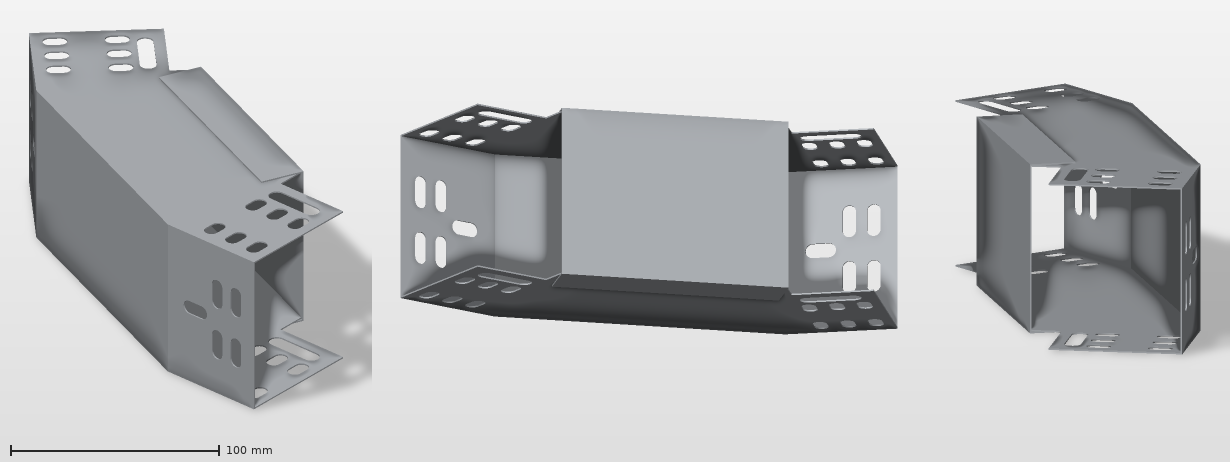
import cadquery as cq
import math


overall_length = 244.5
channel_height = 81.7
sheet = 0.7
bend_angle = 22.5
leg_length = 55.0
end_depth = 65.0
tab_length = 40.0

plate_slot_length = 12.0
plate_slot_width = 7.0
plate_slot_start = 8.5
plate_slot_pitch = 13.5
plate_slot_columns = 3
plate_slot_rows = (12.0, 42.0)
long_slot_length = 30.0
long_slot_width = 8.0
long_slot_along = 22.7
long_slot_back = 55.3

tall_slot_length = 16.0
tall_slot_width = 6.5
tall_slot_columns = (11.5, 23.5)
tall_slot_pitch = 28.0
cross_slot_length = 15.0
cross_slot_width = 7.0
cross_slot_along = 37.5

cover_length = 111.5
cover_back = 80.5
cover_flange = 22.5

cos_bend = math.cos(math.radians(bend_angle))
sin_bend = math.sin(math.radians(bend_angle))
leg_end_x = -overall_length / 2
leg_end_y = leg_length * sin_bend
bend_x = leg_end_x + leg_length * cos_bend
inner_bend_x = bend_x + sheet * math.tan(math.radians(bend_angle / 2))
plate_back = cover_back - sheet


def leg_point(along, back):
    """XY point on the left leg: distance along it from its end, and back from its outside face."""
    return (
        leg_end_x + along * cos_bend + back * sin_bend,
        leg_end_y - along * sin_bend + back * cos_bend,
    )


def symmetric_outline(left_points):
    """Closed outline from the points of its left half, completed by their mirror images."""
    right_points = [(-x, y) for x, y in reversed(left_points)]
    return cq.Workplane("XY").polyline(left_points + right_points).close()


def make_side_plate():
    """Side plate with a tab at each end, standing on Z = 0."""
    notch_x, notch_y = leg_point(tab_length, end_depth)
    back_corner_x = notch_x + (plate_back - notch_y) * sin_bend / cos_bend
    left_half = [
        (bend_x, 0),
        leg_point(0, 0),
        leg_point(0, end_depth),
        (notch_x, notch_y),
        (back_corner_x, plate_back),
    ]
    return symmetric_outline(left_half).extrude(sheet)


def make_front_wall():
    """Front wall with a bent leg at each end, over the full channel height."""
    left_half = [
        (inner_bend_x, sheet),
        leg_point(0, sheet),
        leg_point(0, 0),
        (bend_x, 0),
    ]
    return symmetric_outline(left_half).extrude(channel_height / 2, both=True)


def plate_slot_cutter(along, back, length, width, angle):
    """Slot through both side plates of the left leg, at an angle from the +X direction."""
    return (
        cq.Workplane("XY")
        .center(*leg_point(along, back))
        .slot2D(length, width, angle)
        .extrude(channel_height, both=True)
    )


def wall_slot_cutter(along, height, length, width, angle):
    """Slot through the front wall of the left leg, at an angle from the leg's direction."""
    x, y = leg_point(along, 0)
    leg_face = cq.Plane(
        origin=(x, y, height),
        xDir=(cos_bend, -sin_bend, 0),
        normal=(-sin_bend, -cos_bend, 0),
    )
    return cq.Workplane(leg_face).slot2D(length, width, angle).extrude(2 * sheet, both=True)


def left_slot_cutters():
    """Cutters for all the slots of the left leg."""
    cutters = [
        plate_slot_cutter(long_slot_along, long_slot_back, long_slot_length, long_slot_width, -bend_angle)
    ]
    for column in range(plate_slot_columns):
        along = plate_slot_start + column * plate_slot_pitch
        for back in plate_slot_rows:
            cutters.append(
                plate_slot_cutter(along, back, plate_slot_length, plate_slot_width, 90 - bend_angle)
            )
    for along in tall_slot_columns:
        for height in (-tall_slot_pitch / 2, tall_slot_pitch / 2):
            cutters.append(wall_slot_cutter(along, height, tall_slot_length, tall_slot_width, 90))
    cutters.append(wall_slot_cutter(cross_slot_along, 0, cross_slot_length, cross_slot_width, 0))
    return cutters


def make_channel():
    """U-shaped channel, open at the back, with slotted legs at both ends."""
    top_plate = make_side_plate().translate((0, 0, channel_height / 2 - sheet))
    body = make_front_wall().union(top_plate).union(top_plate.mirror("XY"))
    for cutter in left_slot_cutters():
        body = body.cut(cutter).cut(cutter.mirror("YZ"))
    return body


def make_cover():
    """U-shaped cover that closes the back, its flanges lying on the outside of the side plates."""
    outer = cq.Workplane("XY").box(cover_length, cover_flange, channel_height + 2 * sheet)
    inside = cq.Workplane("XY").box(cover_length, cover_flange, channel_height).translate((0, -sheet, 0))
    return outer.cut(inside).translate((0, cover_back - cover_flange / 2, 0))


channel = make_channel()
cover = make_cover()

result = cq.Compound.makeCompound([channel.val(), cover.val()])